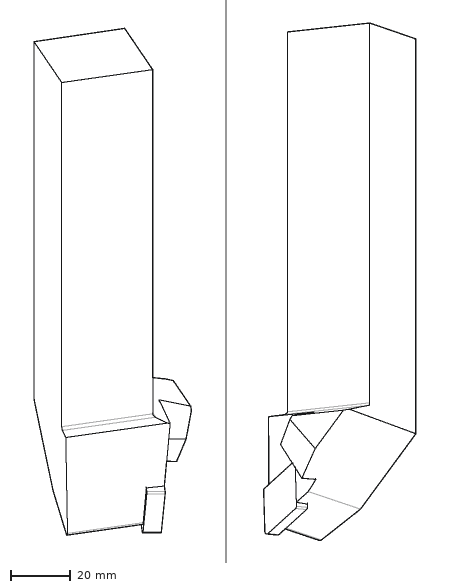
import cadquery as cq
import math

top_height = 171.4
shank_size = 32.0
head_depth = 49.0
side_lean = 0.5

shoulder_height = 40.5
shoulder_angle_y = 15
shoulder_angle_x = 12
shoulder_fillet = 1.0
head_corner_x = 36.7
shoulder_drop_x = (head_corner_x - shank_size) * math.tan(math.radians(shoulder_angle_x))
shoulder_drop_y = (head_depth - shank_size) * math.tan(math.radians(shoulder_angle_y))

relief_start_z = 36.7
relief_end = (22.0, 12.3)
nose = (38.7, 2.2)
nose_radius = 1.0

rake_offset_y = 36.7
rake_fall_x = 0.105
rake_rise_z = 0.1
rake_plane = cq.Plane(
    origin=(0, rake_offset_y, 0),
    xDir=(1, -rake_fall_x, 0),
    normal=(-rake_fall_x, -1, rake_rise_z),
)

wall_top = (17.3, 39.4)
wall_point = (26.0, 28.3)
wall_bottom = (18.5, 16.1)

bevel_points = [(11.7, 49.0, 23.8), (21.8, 49.0, 35.1), (19.2, 44.5, 15.5)]

insert_tip = (40.8, -0.7)
insert_side = 16.0
insert_thickness = 6.3
insert_edge_angles = (92, 149)
insert_corner_radius = 0.9

clearance = 68.5


def make_insert():
    """Rhombic plate whose outer face lies in the rake plane."""
    first, second = [
        (insert_side * math.cos(math.radians(angle)), insert_side * math.sin(math.radians(angle)))
        for angle in insert_edge_angles
    ]
    tip_x, tip_z = insert_tip
    corners = [
        (tip_x, tip_z),
        (tip_x + first[0], tip_z + first[1]),
        (tip_x + first[0] + second[0], tip_z + first[1] + second[1]),
        (tip_x + second[0], tip_z + second[1]),
    ]
    plate = cq.Workplane(rake_plane).polyline(corners).close().extrude(insert_thickness)
    return plate.edges(cq.selectors.ParallelDirSelector(rake_plane.zDir)).fillet(insert_corner_radius)


def fillet_edge_near(body, point, radius):
    """Round the one straight edge closest to the given point."""
    return body.edges(cq.selectors.NearestToPointSelector(point)).fillet(radius)


def make_blank():
    """Shank and head: the front profile and the side profile, intersected."""
    front_outline = [
        (0, top_height),
        (0, relief_start_z),
        relief_end,
        nose,
        (head_corner_x, shoulder_height - shoulder_drop_x),
        (shank_size, shoulder_height),
        (shank_size, top_height),
    ]
    front = cq.Workplane("XZ").polyline(front_outline).close().extrude(-head_depth)
    middle_y = head_depth / 2
    front = fillet_edge_near(front, (nose[0], middle_y, nose[1]), nose_radius)
    front = fillet_edge_near(front, (shank_size, middle_y, shoulder_height), shoulder_fillet)

    side_outline = [
        (0, 0),
        (head_depth, 0),
        (head_depth, shoulder_height - shoulder_drop_y),
        (shank_size, shoulder_height),
        (shank_size, top_height),
        (0, top_height),
    ]
    side = cq.Workplane("YZ").polyline(side_outline).close().extrude(clearance)
    side = fillet_edge_near(side, (clearance / 2, shank_size, shoulder_height), shoulder_fillet)
    return front.intersect(side)


def make_side_wedge():
    """Thin wedge removed to lean the -X side."""
    outline = [(0, 0), (side_lean, 0), (0, head_depth)]
    return cq.Workplane("XY").polyline(outline).close().extrude(top_height)


def make_rake_cutter():
    """Space in front of the rake face, bounded by the pointed raised wall."""
    outline = [
        (wall_top[0], clearance),
        wall_top,
        wall_point,
        wall_bottom,
        (wall_bottom[0], -clearance),
        (clearance, -clearance),
        (clearance, clearance),
    ]
    return cq.Workplane(rake_plane).polyline(outline).close().extrude(-clearance)


def make_bevel_cutter():
    """Half space beyond the back bevel."""
    start, along, across = [cq.Vector(*point) for point in bevel_points]
    x_dir = along - start
    normal = x_dir.cross(across - start)
    plane = cq.Plane(origin=start.toTuple(), xDir=x_dir.toTuple(), normal=normal.toTuple())
    return cq.Workplane(plane).rect(2 * clearance, 2 * clearance).extrude(clearance)


insert = make_insert()
holder = (
    make_blank()
    .cut(make_side_wedge())
    .cut(make_rake_cutter())
    .cut(make_bevel_cutter())
    .cut(insert)
)

result = cq.Compound.makeCompound([holder.val(), insert.val()])